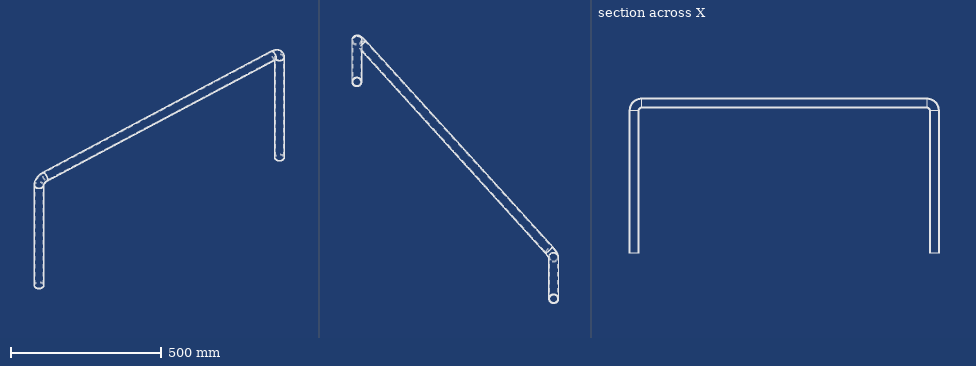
import cadquery as cq

span = 1033.0
height = 517.0
outer_diameter = 33.0
bore_diameter = 27.0
bend_radius = 25.0
bend_angle = 90

outer_radius = outer_diameter / 2
bore_radius = bore_diameter / 2
leg_y = span / 2 - outer_radius
rail_z = height - outer_radius
leg_length = rail_z - bend_radius
rail_end_y = leg_y - bend_radius


def pipe_section(plane, origin):
    """Ring-shaped cross-section shared by every pipe piece."""
    return cq.Workplane(plane, origin=origin).circle(outer_radius).circle(bore_radius)


def make_leg(side):
    """Upright pipe, open at the bottom; side is -1 or +1 along Y."""
    return pipe_section("XY", (0, side * leg_y, 0)).extrude(leg_length)


def make_rail():
    """Straight horizontal pipe between the two elbows."""
    return pipe_section("XZ", (0, rail_end_y, rail_z)).extrude(2 * rail_end_y)


def make_elbow(side):
    """Quarter bend from the top of a leg to the end of the rail."""
    axis_y = -side * bend_radius
    section = pipe_section("XY", (0, side * leg_y, leg_length))
    return section.revolve(bend_angle, (0, axis_y, 0), (side, axis_y, 0))


rail = make_rail()
legs = []
elbows = []
for side in (-1, 1):
    legs.append(make_leg(side).val())
    elbows.append(make_elbow(side).val())

result = cq.Compound.makeCompound([rail.val(), *legs, *elbows])